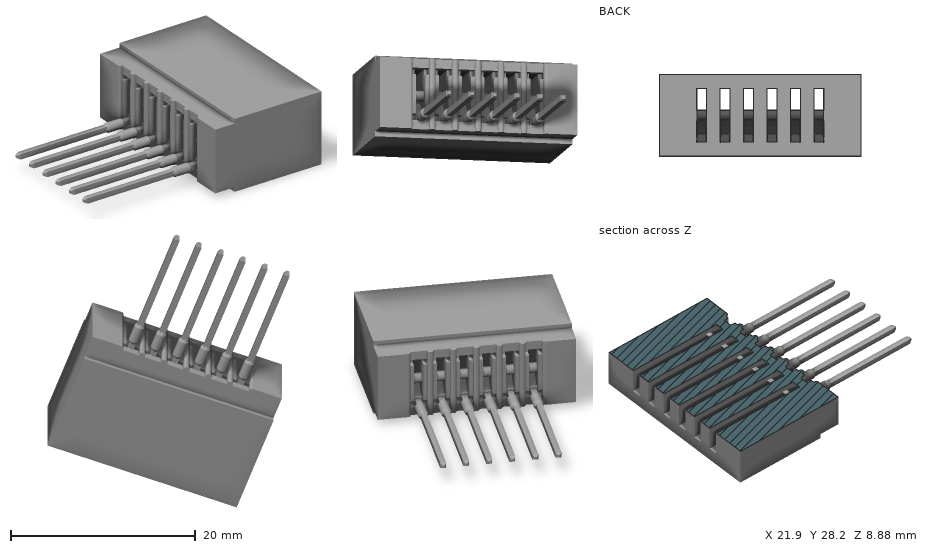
import cadquery as cq
import math


HOUSING_LENGTH = 21.85
HOUSING_DEPTH = 13.98
HOUSING_HEIGHT = 8.88
STEP_DEPTH = 2.55
STEP_DROP = 0.55

CONTACT_COUNT = 6
PITCH = 2.55

RECESS_WIDTH = 1.85
RECESS_DEPTH = 0.4
RIB_RADIUS = 0.3

SLOT_WIDTH = 1.05
SLOT_HEIGHT = 5.78
MOUTH_HEIGHT = 0.7
MOUTH_DEPTH = 0.73
MOUTH_END = RECESS_DEPTH + MOUTH_DEPTH

BAR_RADIUS = 0.55
BAR_SETBACK = 0.6
BAR_Y = RECESS_DEPTH + BAR_SETBACK + BAR_RADIUS

PIN_SIDE = 0.65
PIN_Z = -2.55
OVERALL_LENGTH = 28.2
PIN_TIP_Y = HOUSING_DEPTH - OVERALL_LENGTH
TIP_LENGTH = 0.37
TIP_SIDE = 0.3

COLLAR_RADIUS = 0.55
COLLAR_START = -2.62
COLLAR_END = -0.08
CONE_LENGTH = 0.35
CONE_RADIUS = PIN_SIDE / 2
COLLAR_ROUNDING = 0.15

ARM_WIDTH = 1.0
ARM_SETBACK = 0.42
ARM_FRONT = RECESS_DEPTH + ARM_SETBACK
ARM_BOTTOM = -SLOT_HEIGHT / 2
SHOULDER_TOP = -2.03
SHOULDER_LENGTH = 0.85
RISE_RADIUS = 0.28
BEND_Z = -1.2
ARM_TOP = -0.55
ARM_THICKNESS = 0.55
LOWER_SLOPE = 48
UPPER_SLOPE = 45


def box(x_size, y_start, y_end, z_size, x=0, z=0):
    """Box centred on x and z that reaches from y_start to y_end."""
    return cq.Workplane("XY").box(x_size, y_end - y_start, z_size).translate((x, (y_start + y_end) / 2, z))


def make_recess(x):
    half = RECESS_WIDTH / 2
    return (
        cq.Workplane("XY")
        .moveTo(-half - RIB_RADIUS, 0)
        .radiusArc((-half, RIB_RADIUS), -RIB_RADIUS)
        .lineTo(-half, RECESS_DEPTH)
        .lineTo(half, RECESS_DEPTH)
        .lineTo(half, RIB_RADIUS)
        .radiusArc((half + RIB_RADIUS, 0), -RIB_RADIUS)
        .close()
        .extrude(HOUSING_HEIGHT / 2, both=True)
        .translate((x, 0, 0))
    )


def make_slot(x):
    slot = box(SLOT_WIDTH, 0, HOUSING_DEPTH, SLOT_HEIGHT, x)
    mouth_z = (SLOT_HEIGHT - MOUTH_HEIGHT) / 2
    for z in (-mouth_z, mouth_z):
        slot = slot.union(box(RECESS_WIDTH, RECESS_DEPTH, MOUTH_END, MOUTH_HEIGHT, x, z))
    bar = (
        cq.Workplane("YZ")
        .center(BAR_Y, 0)
        .circle(BAR_RADIUS)
        .extrude(PITCH / 2, both=True)
        .translate((x, 0, 0))
    )
    return slot.cut(bar)


def make_housing(contact_places):
    body = box(HOUSING_LENGTH, STEP_DEPTH, HOUSING_DEPTH, HOUSING_HEIGHT)
    body = body.union(box(HOUSING_LENGTH, 0, STEP_DEPTH, HOUSING_HEIGHT - 2 * STEP_DROP))
    for x in contact_places:
        body = body.cut(make_recess(x)).cut(make_slot(x))
    return body


def make_pin():
    shaft = box(PIN_SIDE, PIN_TIP_Y + TIP_LENGTH, ARM_FRONT, PIN_SIDE)
    tip = (
        cq.Workplane("XZ", origin=(0, PIN_TIP_Y + TIP_LENGTH, 0))
        .rect(PIN_SIDE, PIN_SIDE)
        .workplane(offset=TIP_LENGTH)
        .rect(TIP_SIDE, TIP_SIDE)
        .loft(ruled=True)
    )
    return shaft.union(tip)


def make_collar():
    return (
        cq.Workplane("XY")
        .moveTo(0, COLLAR_START)
        .lineTo(CONE_RADIUS, COLLAR_START)
        .lineTo(COLLAR_RADIUS, COLLAR_START + CONE_LENGTH)
        .lineTo(COLLAR_RADIUS, COLLAR_END - CONE_LENGTH)
        .lineTo(CONE_RADIUS, COLLAR_END)
        .lineTo(0, COLLAR_END)
        .close()
        .revolve(360, (0, 0), (0, 1))
        .edges(cq.selectors.RadiusNthSelector(-1))
        .fillet(COLLAR_ROUNDING)
    )


def make_arm():
    rise_y = ARM_FRONT + SHOULDER_LENGTH
    bend_y = rise_y + (BEND_Z - SHOULDER_TOP) / math.tan(math.radians(LOWER_SLOPE))
    top_y = bend_y + (ARM_TOP - BEND_Z) / math.tan(math.radians(UPPER_SLOPE))
    foot_y = rise_y + ARM_THICKNESS
    return (
        cq.Workplane("YZ")
        .polyline([
            (ARM_FRONT, ARM_BOTTOM),
            (ARM_FRONT, SHOULDER_TOP),
            (rise_y, SHOULDER_TOP),
            (bend_y, BEND_Z),
            (top_y, ARM_TOP),
            (top_y + ARM_THICKNESS, ARM_TOP),
            (bend_y + ARM_THICKNESS, BEND_Z),
            (foot_y, SHOULDER_TOP),
            (foot_y, ARM_BOTTOM),
        ])
        .close()
        .extrude(ARM_WIDTH / 2, both=True)
        .edges(cq.selectors.NearestToPointSelector((0, rise_y, SHOULDER_TOP)))
        .fillet(RISE_RADIUS)
    )


def make_contact(x):
    pin = make_pin().union(make_collar()).translate((0, 0, PIN_Z))
    return pin.union(make_arm()).translate((x, 0, 0))


contact_places = [(i - (CONTACT_COUNT - 1) / 2) * PITCH for i in range(CONTACT_COUNT)]
housing = make_housing(contact_places)
contacts = [make_contact(x) for x in contact_places]

result = cq.Compound.makeCompound(
    [housing.solids().val()] + [contact.solids().val() for contact in contacts]
)